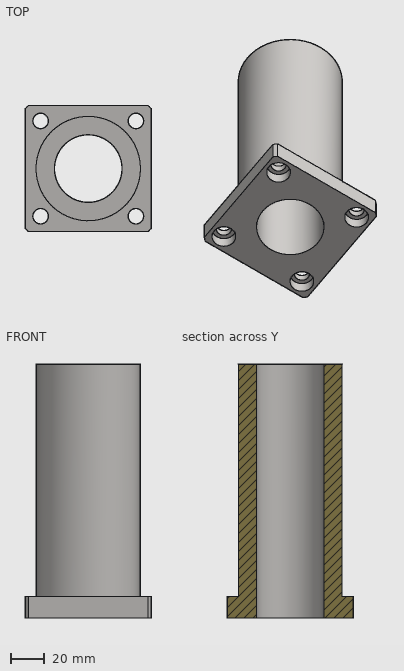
import cadquery as cq

total_height = 151.0
flange_side = 75.0
flange_thickness = 13.0
corner_chamfer = 2.0

tube_diameter = 62.0
bore_diameter = 40.0

hole_diameter = 9.0
hole_spacing = 56.6
counterbore_diameter = 14.0
counterbore_depth = 8.0

flange = (
    cq.Workplane("XY")
    .rect(flange_side, flange_side)
    .extrude(flange_thickness)
    .edges("|Z")
    .chamfer(corner_chamfer)
)

tube = cq.Workplane("XY").circle(tube_diameter / 2).extrude(total_height)

bore = cq.Workplane("XY").circle(bore_diameter / 2).extrude(total_height)

result = (
    flange.union(tube)
    .cut(bore)
    .faces("<Z")
    .workplane(origin=(0, 0, 0))
    .rect(hole_spacing, hole_spacing, forConstruction=True)
    .vertices()
    .cboreHole(hole_diameter, counterbore_diameter, counterbore_depth, depth=flange_thickness)
)